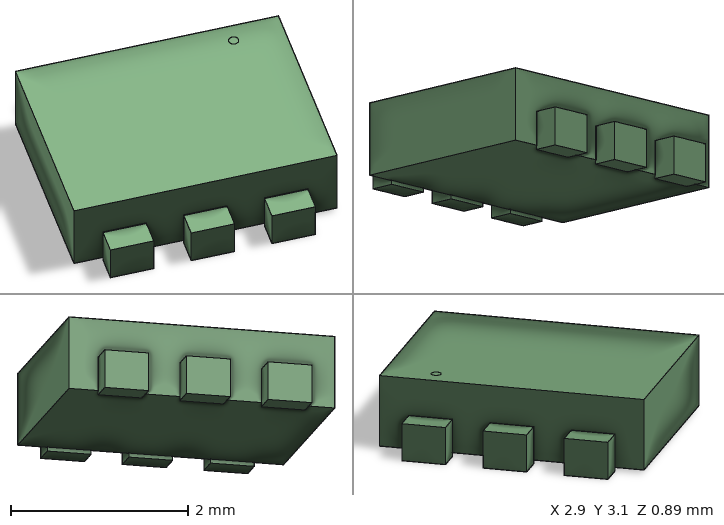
import cadquery as cq

total_width = 2.9
body_length = 3.1
total_height = 0.89

body_width = 2.32
standoff = 0.045
body_height = total_height - standoff

leads_per_side = 3
lead_pitch = 0.952
lead_width = 0.51
lead_length = 0.3
lead_height = 0.443

marker_diameter = 0.115
marker_depth = 0.03
marker_edge_distance = 0.232

first_lead_y = lead_pitch * (leads_per_side - 1) / 2


def make_lead(side, y):
    """One rectangular lead; side is -1 for the -X row and +1 for the +X row."""
    x = side * (total_width - lead_length) / 2
    return (
        cq.Workplane("XY")
        .center(x, y)
        .box(lead_length, lead_width, lead_height, centered=(True, True, False))
    )


def make_marker():
    """The pin 1 disc, in line with the first lead of the -X row."""
    return (
        cq.Workplane("XY", origin=(0, 0, total_height - marker_depth))
        .center(-body_width / 2 + marker_edge_distance, first_lead_y)
        .circle(marker_diameter / 2)
        .extrude(marker_depth)
    )


def make_body(inserts):
    """The rectangular body, with a matching recess for each inserted part."""
    body = (
        cq.Workplane("XY", origin=(0, 0, standoff))
        .box(body_width, body_length, body_height, centered=(True, True, False))
    )
    for insert in inserts:
        body = body.cut(insert)
    return body


leads = []
for side in (-1, 1):
    for index in range(leads_per_side):
        leads.append(make_lead(side, first_lead_y - index * lead_pitch))

marker = make_marker()
body = make_body([*leads, marker])

result = cq.Compound.makeCompound([body.val(), marker.val(), *[lead.val() for lead in leads]])